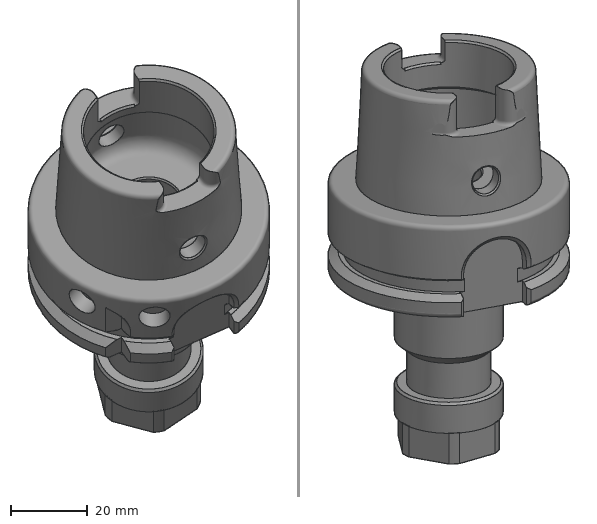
import cadquery as cq
import math


TAPER_LENGTH = 32.0
TAPER_BASE_RADIUS = 24.3
TAPER_SLOPE = 0.05
TAPER_TIP_RADIUS = TAPER_BASE_RADIUS - TAPER_SLOPE * TAPER_LENGTH
EDGE_ROUND = 1.3

BORE_RADIUS = 17.0
BORE_CHAMFER = 0.5
BORE_END_Z = 18.8
CLAMPING_CONE_ANGLE = 30.0
UNDERCUT_RADIUS = 20.0
UNDERCUT_FLOOR_Z = 2.0
UNDERCUT_FILLET = 4.2
SOCKET_RADIUS = 8.6
SOCKET_CHAMFER = 0.4
SOCKET_DEPTH = 8.6
THROUGH_RADIUS = 4.2

DRIVE_SLOT_HALF_WIDTH = 6.2
DRIVE_SLOT_LEFT_FLOOR_Z = 21.9
DRIVE_SLOT_RIGHT_FLOOR_Z = 25.8
DRIVE_SLOT_FLARE_X = 18.0
DRIVE_SLOT_FLARE_RADIUS = 2.9
DRIVE_SLOT_FLARE_TURN = 120.0
DRIVE_SLOT_FILLET = 1.1

CROSS_HOLE_RADIUS = 3.7
CROSS_HOLE_Z = 8.9
CROSS_HOLE_CHAMFER = 0.4

FLANGE_DIAMETER = 63.0
FLANGE_RADIUS = FLANGE_DIAMETER / 2
FLANGE_HEIGHT = 26.0
GROOVE_RADIUS = 27.6
GROOVE_TOP_Z = -16.4
GROOVE_BOTTOM_Z = -20.1
GROOVE_BEVEL_RISE = 1.4
GROOVE_BEVEL_RUN = 2.6

KEYWAY_HALF_WIDTH = 9.0
KEYWAY_TOP_Z = -5.1
KEYWAY_FLOOR_X = 26.5
KEYWAY_CHAMFER = 1.1
NOTCH_RADIUS = 8.0
NOTCH_FLOOR_X = 20.0
NOTCH_WALL_Y = -19.6
NOTCH_WALL_TOP_Z = -12.4
CHIP_HOLE_RADIUS = 4.1
CHIP_HOLE_DEPTH = 4.6
CHIP_HOLE_Z = -6.4
CHIP_HOLE_ANGLES = (-26.9, -63.4)

COLLAR_RADIUS = 14.2
COLLAR_FILLET = 5.2
COLLAR_END_Z = -44.8
NECK_RADIUS = 11.0
NECK_START_Z = -47.6

NUT_RADIUS = COLLAR_RADIUS
NUT_TOP_Z = -57.6
NUT_TOP_CHAMFER = 0.6
HEX_TOP_Z = -66.1
HEX_ACROSS_FLATS = 25.4
HEX_CORNER_RADIUS = 13.9
HEX_CORNER_ANGLE = -18.7
TOTAL_HEIGHT = 107.0
NUT_BOTTOM_Z = TAPER_LENGTH - TOTAL_HEIGHT

FLANGE_BOTTOM_Z = -FLANGE_HEIGHT
CLEARANCE = 5.4
SELECT_MARGIN = 0.5
QUARTER_POINT = math.sqrt(0.5)


def cylinder(radius, bottom_z, top_z):
    """Upright cylinder on the axis."""
    return cq.Workplane("XY").workplane(offset=bottom_z).circle(radius).extrude(top_z - bottom_z)


def frustum(bottom_radius, top_radius, bottom_z, top_z):
    """Upright truncated cone on the axis."""
    outline = [(0, bottom_z), (bottom_radius, bottom_z), (top_radius, top_z), (0, top_z)]
    return cq.Workplane("XZ").polyline(outline).close().revolve(360, (0, 0), (0, 1))


def flange_disc():
    """Plain flange disc with the two opposite round-topped keyways and their chamfers."""
    disc = cylinder(FLANGE_RADIUS, FLANGE_BOTTOM_Z, 0)
    arc_center_z = KEYWAY_TOP_Z - KEYWAY_HALF_WIDTH
    keyway_bottom_z = FLANGE_BOTTOM_Z - CLEARANCE
    for side in (-1, 1):
        keyway = (
            cq.Workplane("YZ").workplane(offset=side * KEYWAY_FLOOR_X)
            .moveTo(-KEYWAY_HALF_WIDTH, keyway_bottom_z)
            .lineTo(-KEYWAY_HALF_WIDTH, arc_center_z)
            .threePointArc((0, KEYWAY_TOP_Z), (KEYWAY_HALF_WIDTH, arc_center_z))
            .lineTo(KEYWAY_HALF_WIDTH, keyway_bottom_z)
            .close()
            .extrude(side * (FLANGE_RADIUS - KEYWAY_FLOOR_X + CLEARANCE))
        )
        disc = disc.cut(keyway)
    select_half_width = KEYWAY_HALF_WIDTH + SELECT_MARGIN
    for side in (-1, 1):
        mouth = cq.selectors.BoxSelector(
            (side * (KEYWAY_FLOOR_X + KEYWAY_CHAMFER), -select_half_width, FLANGE_BOTTOM_Z + SELECT_MARGIN),
            (side * (FLANGE_RADIUS + SELECT_MARGIN), select_half_width, -SELECT_MARGIN),
        )
        disc = disc.edges(mouth).chamfer(KEYWAY_CHAMFER)
    return disc


def flange_envelope():
    """Turned outline of the flange: rounded rims and the bevelled gripper groove."""
    bevel_radius = FLANGE_RADIUS - GROOVE_BEVEL_RUN
    rim_inset = EDGE_ROUND * (1 - QUARTER_POINT)
    rim_radius = FLANGE_RADIUS - EDGE_ROUND
    return (
        cq.Workplane("XZ")
        .moveTo(0, 0)
        .lineTo(rim_radius, 0)
        .threePointArc((FLANGE_RADIUS - rim_inset, -rim_inset), (FLANGE_RADIUS, -EDGE_ROUND))
        .lineTo(FLANGE_RADIUS, GROOVE_TOP_Z + GROOVE_BEVEL_RISE)
        .lineTo(bevel_radius, GROOVE_TOP_Z)
        .lineTo(GROOVE_RADIUS, GROOVE_TOP_Z)
        .lineTo(GROOVE_RADIUS, GROOVE_BOTTOM_Z)
        .lineTo(bevel_radius, GROOVE_BOTTOM_Z)
        .lineTo(FLANGE_RADIUS, GROOVE_BOTTOM_Z - GROOVE_BEVEL_RISE)
        .lineTo(FLANGE_RADIUS, FLANGE_BOTTOM_Z + EDGE_ROUND)
        .threePointArc(
            (FLANGE_RADIUS - rim_inset, FLANGE_BOTTOM_Z + rim_inset),
            (rim_radius, FLANGE_BOTTOM_Z),
        )
        .lineTo(0, FLANGE_BOTTOM_Z)
        .close()
        .revolve(360, (0, 0), (0, 1))
    )


def taper():
    """Solid taper with a rounded tip."""
    cone = frustum(TAPER_BASE_RADIUS, TAPER_TIP_RADIUS, 0, TAPER_LENGTH)
    return cone.faces(">Z").edges().fillet(EDGE_ROUND)


def shank():
    """Collar with a concave fillet under the flange, a cone and the neck down to the nut."""
    fillet_sag = COLLAR_FILLET * (1 - QUARTER_POINT)
    return (
        cq.Workplane("XZ")
        .moveTo(0, FLANGE_BOTTOM_Z)
        .lineTo(COLLAR_RADIUS + COLLAR_FILLET, FLANGE_BOTTOM_Z)
        .threePointArc(
            (COLLAR_RADIUS + fillet_sag, FLANGE_BOTTOM_Z - fillet_sag),
            (COLLAR_RADIUS, FLANGE_BOTTOM_Z - COLLAR_FILLET),
        )
        .lineTo(COLLAR_RADIUS, COLLAR_END_Z)
        .lineTo(NECK_RADIUS, NECK_START_Z)
        .lineTo(NECK_RADIUS, NUT_TOP_Z)
        .lineTo(0, NUT_TOP_Z)
        .close()
        .revolve(360, (0, 0), (0, 1))
    )


def bore_cutter():
    """Bore, clamping cone, undercut with rounded floor, socket and through hole."""
    bore = cylinder(BORE_RADIUS, BORE_END_Z, TAPER_LENGTH)
    cone_height = (UNDERCUT_RADIUS - BORE_RADIUS) * math.tan(math.radians(CLAMPING_CONE_ANGLE))
    undercut_top_z = BORE_END_Z - cone_height
    clamping_cone = frustum(UNDERCUT_RADIUS, BORE_RADIUS, undercut_top_z, BORE_END_Z)
    undercut = cylinder(UNDERCUT_RADIUS, UNDERCUT_FLOOR_Z, undercut_top_z)
    undercut = undercut.faces("<Z").edges().fillet(UNDERCUT_FILLET)
    socket = cylinder(SOCKET_RADIUS, UNDERCUT_FLOOR_Z - SOCKET_DEPTH, UNDERCUT_FLOOR_Z)
    through_hole = cylinder(THROUGH_RADIUS, NUT_TOP_Z, UNDERCUT_FLOOR_Z)
    return (
        bore.union(clamping_cone)
        .union(undercut)
        .union(socket)
        .union(through_hole)
        .union(mouth_chamfer(BORE_RADIUS, BORE_CHAMFER, TAPER_LENGTH))
        .union(mouth_chamfer(SOCKET_RADIUS, SOCKET_CHAMFER, UNDERCUT_FLOOR_Z))
    )


def mouth_chamfer(radius, size, mouth_z):
    """Cone that chamfers the mouth of an upright hole."""
    return frustum(radius, radius + size, mouth_z - size, mouth_z)


def drive_slot_cutter(side, floor_z):
    """Slot through one side of the taper wall, with a flared mouth and a filleted floor."""
    outer_x = TAPER_BASE_RADIUS + CLEARANCE
    outer_y = DRIVE_SLOT_HALF_WIDTH + 2 * DRIVE_SLOT_FLARE_RADIUS + CLEARANCE

    def flare_point(turn):
        """Point on the rounded slot corner after the wall has turned by an angle in degrees."""
        turn = math.radians(turn)
        x = DRIVE_SLOT_FLARE_X + DRIVE_SLOT_FLARE_RADIUS * math.sin(turn)
        y = DRIVE_SLOT_HALF_WIDTH + DRIVE_SLOT_FLARE_RADIUS * (1 - math.cos(turn))
        return (side * x, y)

    flare_middle = flare_point(DRIVE_SLOT_FLARE_TURN / 2)
    flare_end = flare_point(DRIVE_SLOT_FLARE_TURN)
    tangent_slope = 1 / math.tan(math.radians(DRIVE_SLOT_FLARE_TURN))
    mouth_end = (flare_end[0] + side * tangent_slope * (outer_y - flare_end[1]), outer_y)
    half_slot = (
        cq.Workplane("XY").workplane(offset=floor_z)
        .lineTo(0, DRIVE_SLOT_HALF_WIDTH)
        .lineTo(side * DRIVE_SLOT_FLARE_X, DRIVE_SLOT_HALF_WIDTH)
        .threePointArc(flare_middle, flare_end)
        .lineTo(*mouth_end)
        .lineTo(side * outer_x, outer_y)
        .lineTo(side * outer_x, 0)
        .close()
        .extrude(TAPER_LENGTH - floor_z + CLEARANCE)
    )
    slot = half_slot.union(half_slot.mirror("XZ"))
    wall_edges = cq.selectors.BoxSelector(
        (side * SELECT_MARGIN, -outer_y + SELECT_MARGIN, floor_z - SELECT_MARGIN),
        (side * (outer_x - SELECT_MARGIN), outer_y - SELECT_MARGIN, floor_z + SELECT_MARGIN),
    )
    slot = slot.edges(wall_edges).fillet(DRIVE_SLOT_FILLET)
    flat_width = 2 * (DRIVE_SLOT_HALF_WIDTH - DRIVE_SLOT_FILLET)
    flat_span = (
        cq.Workplane("XY")
        .box(outer_x, flat_width, TAPER_LENGTH, centered=(True, True, False))
        .translate((side * outer_x / 2, 0, 0))
    )
    return slot.union(mouth_chamfer(BORE_RADIUS, BORE_CHAMFER, floor_z).intersect(flat_span))


def drill_cross_hole(body):
    """Drill along X through both taper walls and chamfer both outer rims."""
    half_length = TAPER_BASE_RADIUS + CLEARANCE
    hole = (
        cq.Workplane("YZ").workplane(offset=-half_length)
        .center(0, CROSS_HOLE_Z)
        .circle(CROSS_HOLE_RADIUS)
        .extrude(2 * half_length)
    )
    body = body.cut(hole)
    reach = CROSS_HOLE_RADIUS + SELECT_MARGIN
    for side in (-1, 1):
        rim = cq.selectors.BoxSelector(
            (side * UNDERCUT_RADIUS, -reach, CROSS_HOLE_Z - reach),
            (side * half_length, reach, CROSS_HOLE_Z + reach),
            boundingbox=True,
        )
        body = body.edges(rim).chamfer(CROSS_HOLE_CHAMFER)
    return body


def notch_cutter():
    """Round-topped notch at the flange rim, open toward -Y, with its flat floor facing +X."""
    center_y = NOTCH_WALL_Y - NOTCH_RADIUS
    return (
        cq.Workplane("YZ").workplane(offset=NOTCH_FLOOR_X)
        .moveTo(center_y - NOTCH_RADIUS, FLANGE_BOTTOM_Z - CLEARANCE)
        .lineTo(center_y - NOTCH_RADIUS, NOTCH_WALL_TOP_Z)
        .threePointArc((center_y, NOTCH_WALL_TOP_Z + NOTCH_RADIUS), (NOTCH_WALL_Y, NOTCH_WALL_TOP_Z))
        .lineTo(NOTCH_WALL_Y, FLANGE_BOTTOM_Z - CLEARANCE)
        .close()
        .extrude(FLANGE_RADIUS - NOTCH_FLOOR_X)
    )


def chip_hole_cutter(angle):
    """Flat-bottomed radial hole in the flange rim."""
    return (
        cq.Workplane("YZ").workplane(offset=FLANGE_RADIUS - CHIP_HOLE_DEPTH)
        .center(0, CHIP_HOLE_Z)
        .circle(CHIP_HOLE_RADIUS)
        .extrude(CHIP_HOLE_DEPTH + CLEARANCE)
        .rotate((0, 0, 0), (0, 0, 1), angle)
    )


def make_holder():
    flange = flange_disc().intersect(flange_envelope()).cut(notch_cutter())
    for angle in CHIP_HOLE_ANGLES:
        flange = flange.cut(chip_hole_cutter(angle))
    body = flange.union(taper()).union(shank()).cut(bore_cutter())
    body = drill_cross_hole(body)
    return (
        body.cut(drive_slot_cutter(-1, DRIVE_SLOT_LEFT_FLOOR_Z))
        .cut(drive_slot_cutter(1, DRIVE_SLOT_RIGHT_FLOOR_Z))
    )


def make_nut():
    """Round clamping nut with a hexagon whose corners are turned down."""
    ring = cylinder(NUT_RADIUS, HEX_TOP_Z, NUT_TOP_Z).faces(">Z").edges().chamfer(NUT_TOP_CHAMFER)
    hex_across_corners = HEX_ACROSS_FLATS / math.cos(math.radians(30))
    hexagon = (
        cq.Workplane("XY").workplane(offset=NUT_BOTTOM_Z)
        .polygon(6, hex_across_corners)
        .extrude(HEX_TOP_Z - NUT_BOTTOM_Z)
        .rotate((0, 0, 0), (0, 0, 1), HEX_CORNER_ANGLE)
        .intersect(cylinder(HEX_CORNER_RADIUS, NUT_BOTTOM_Z, HEX_TOP_Z))
    )
    return ring.union(hexagon).cut(cylinder(THROUGH_RADIUS, NUT_BOTTOM_Z, NUT_TOP_Z))


holder = make_holder()
nut = make_nut()
result = cq.Compound.makeCompound([holder.val(), nut.val()])